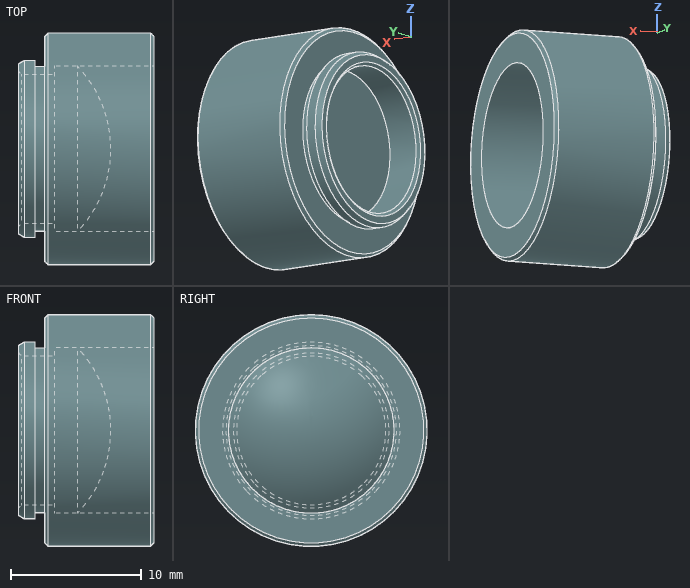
import cadquery as cq
import math


total_length = 10.4
nose_length = 2.01
land_end = 1.28
nose_chamfer_length = 0.46

barrel_radius = 8.89
land_radius = 6.8
relief_radius = 6.33
bore_radius = 5.7
edge_chamfer = 0.27
nose_chamfer_depth = 0.27
bore_chamfer = 0.25

lens_face_x = 2.75
lens_radius = 6.35
lens_edge_thickness = 1.78
lens_curvature_radius = 9.2


def revolve_about_x(profile):
    """Turn a closed (x, radius) profile one full turn about the X axis."""
    return profile.close().revolve(360, (0, 0, 0), (1, 0, 0))


def make_housing():
    """Barrel with a threaded nose, a bore and a lens pocket open at +X."""
    profile = (
        cq.Workplane("XZ")
        .moveTo(bore_chamfer, bore_radius)
        .lineTo(0, bore_radius + bore_chamfer)
        .lineTo(0, land_radius - nose_chamfer_depth)
        .lineTo(nose_chamfer_length, land_radius)
        .lineTo(land_end, land_radius)
        .lineTo(land_end, relief_radius)
        .lineTo(nose_length, relief_radius)
        .lineTo(nose_length, barrel_radius - edge_chamfer)
        .lineTo(nose_length + edge_chamfer, barrel_radius)
        .lineTo(total_length - edge_chamfer, barrel_radius)
        .lineTo(total_length, barrel_radius - edge_chamfer)
        .lineTo(total_length, lens_radius)
        .lineTo(lens_face_x, lens_radius)
        .lineTo(lens_face_x, bore_radius)
    )
    return revolve_about_x(profile)


def make_lens():
    """Lens with its flat face toward -X and its convex face toward +X."""
    edge_x = lens_face_x + lens_edge_thickness
    rim_to_sphere_centre = math.sqrt(lens_curvature_radius**2 - lens_radius**2)
    sphere_centre_x = edge_x - rim_to_sphere_centre
    apex_x = sphere_centre_x + lens_curvature_radius
    mid_angle = math.asin(lens_radius / lens_curvature_radius) / 2
    arc_middle = (
        sphere_centre_x + lens_curvature_radius * math.cos(mid_angle),
        lens_curvature_radius * math.sin(mid_angle),
    )
    profile = (
        cq.Workplane("XZ")
        .moveTo(lens_face_x, 0)
        .lineTo(lens_face_x, lens_radius)
        .lineTo(edge_x, lens_radius)
        .threePointArc(arc_middle, (apex_x, 0))
    )
    return revolve_about_x(profile)


housing = make_housing()
lens = make_lens()

result = cq.Compound.makeCompound([housing.val(), lens.val()])